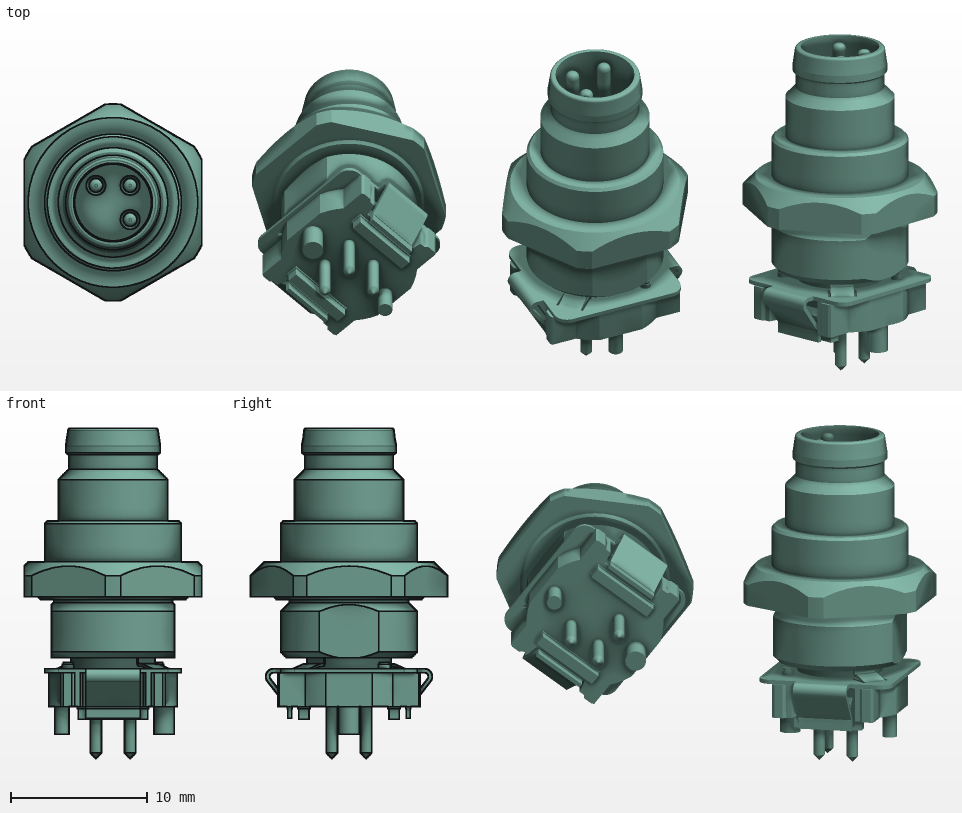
import cadquery as cq
import math


hex_across_flats = 13.0
hex_round_radius = 7.2
hex_face_radius = 6.2
hex_height = 2.55
collar_radius = 5.0
collar_top_z = 5.55
collar_chamfer = 0.2
sleeve_radius = 4.0
sleeve_top_z = 8.56
snap_neck_radius = 3.25
snap_neck_bottom_z = sleeve_top_z + sleeve_radius - snap_neck_radius
snap_neck_top_z = 10.37
snap_ring_radius = 3.46
snap_ring_bottom_z = 10.53
snap_ring_top_z = 11.05
shell_top_z = 12.32
rim_round = 0.2
rim_radius = 3.27
bore_radius = 2.88
bore_floor_z = 7.3
bore_step_radius = 2.8
bore_step_height = 0.3

gasket_radius = 5.5
gasket_height = 0.2
thread_radius = 4.35
nut_radius = 5.0
nut_across_flats = 9.0
nut_top_z = -0.42
nut_bottom_z = -4.47
nut_chamfer = nut_radius - thread_radius
nut_lower_chamfer = 0.45
stem_radius = 3.1

sheet_thickness = 0.3
plate_size = 10.0
plate_corner_radius = 1.0
plate_top_z = -5.25
plate_bottom_z = plate_top_z - sheet_thickness

base_bottom_z = -8.02
base_height = plate_bottom_z - base_bottom_z
base_round_radius = 5.0
base_round_width = 9.4
base_half_length = 5.2
base_end_half_width = 3.83
base_end_chamfer_x = 0.2
base_end_chamfer_y = 0.1
recess_mouth_half_width = 3.0
recess_floor_half_width = 2.79
pocket_mouth_half_width = 2.4
pocket_floor_half_width = 2.2
pocket_floor_y = 4.1

clip_width = 4.0
clip_bend_radius = 0.58
clip_bend_y = 5.51
clip_slope = math.radians(38)
clip_leg_y = 4.48
clip_leg_bottom_z = -8.88
ledge_y = 4.65
ledge_back_z = -6.45
ledge_front_z = -6.85
ledge_bottom_z = -7.1

foot_width = 5.08
foot_depth = 0.77
foot_y = 3.3
foot_bottom_z = -8.96
foot_pad_margin = 0.07
leg_pad_margin = 0.04
foot_pad_height = 0.17
post_x = 3.74
small_post_radius = 0.53
large_post_radius = 0.75
post_bottom_z = -10.05

pin_offset = 1.25
pin_positions = [(-pin_offset, pin_offset), (pin_offset, pin_offset), (pin_offset, -pin_offset)]
mating_pin_radius = 0.5
mating_pin_top_z = 12.05
mating_pin_round = 0.4
countersink_radius = 0.71
countersink_depth = countersink_radius - mating_pin_radius
solder_pin_radius = 0.42
solder_pin_shoulder_z = -11.4
solder_pin_tip_z = -11.83

stud_x = 3.28
stud_y = 2.57
stud_radius = 0.43
stud_height = 0.32
stud_head_radius = 0.36
stud_head_height = 0.48

tongue_angle = 45
tongue_width = 1.7
tongue_root = 4.95
tongue_knee = 3.85
tongue_tip = 3.3
tongue_rise = 0.35
tongue_slit = 0.2
tongue_thickness = 0.18
tongue_bend_radius = 0.3


def block(x0, x1, y0, y1, z0, z1):
    """Box between two opposite corners."""
    return cq.Workplane("XY").box(x1 - x0, y1 - y0, z1 - z0, centered=False).translate((x0, y0, z0))


def cylinder(position, radius, z0, z1):
    """Vertical cylinder between two heights."""
    return cq.Workplane("XY", origin=(*position, z0)).circle(radius).extrude(z1 - z0)


def revolved(points):
    """Solid of revolution about Z from (radius, height) points."""
    return cq.Workplane("XZ").polyline(points).close().revolve(360, (0, 0, 0), (0, 1, 0))


def both_ends(feature):
    """A +Y feature together with its copy on the -Y end."""
    return feature.union(feature.mirror("XZ"))


def hex_flange():
    """Hexagon with flats across X, its corners rounded and its upper edge bevelled at 45 degrees."""
    corner_diameter = hex_across_flats / math.cos(math.pi / 6)
    hexagon = cq.Workplane("XY").polygon(6, corner_diameter).extrude(hex_height)
    hexagon = hexagon.rotate((0, 0, 0), (0, 0, 1), 30)
    bevel_z = hex_height - (hex_round_radius - hex_face_radius)
    rounding = revolved([
        (0, 0),
        (hex_round_radius, 0),
        (hex_round_radius, bevel_z),
        (hex_face_radius, hex_height),
        (0, hex_height),
    ])
    return hexagon.intersect(rounding)


def upper_shell():
    """Collar, sleeve and snap ring, with the stepped bore that holds the mating pins."""
    shell = revolved([
        (0, hex_height),
        (collar_radius, hex_height),
        (collar_radius, collar_top_z - collar_chamfer),
        (collar_radius - collar_chamfer, collar_top_z),
        (sleeve_radius, collar_top_z),
        (sleeve_radius, sleeve_top_z),
        (snap_neck_radius, snap_neck_bottom_z),
        (snap_neck_radius, snap_neck_top_z),
        (snap_ring_radius, snap_ring_bottom_z),
        (snap_ring_radius, snap_ring_top_z),
        (rim_radius, shell_top_z),
        (0, shell_top_z),
    ])
    shell = shell.faces(">Z").edges().fillet(rim_round)
    step_z = bore_floor_z + bore_step_height
    shell = shell.cut(cylinder((0, 0), bore_radius, step_z, shell_top_z))
    return shell.cut(cylinder((0, 0), bore_step_radius, bore_floor_z, step_z))


def lower_shell():
    """Gasket, thread, nut with two flats across X, and the stem down to the plate."""
    neck_and_gasket = revolved([
        (0, 0),
        (gasket_radius, 0),
        (gasket_radius - gasket_height, -gasket_height),
        (thread_radius, -gasket_height),
        (thread_radius, nut_top_z),
        (0, nut_top_z),
    ])
    nut = revolved([
        (0, nut_top_z),
        (thread_radius, nut_top_z),
        (nut_radius, nut_top_z - nut_chamfer),
        (nut_radius, nut_bottom_z + nut_lower_chamfer),
        (nut_radius - nut_lower_chamfer, nut_bottom_z),
        (0, nut_bottom_z),
    ])
    half_flats = nut_across_flats / 2
    flats = block(-half_flats, half_flats, -nut_radius, nut_radius, nut_bottom_z, nut_top_z)
    stem = cylinder((0, 0), stem_radius, plate_bottom_z, nut_bottom_z)
    return neck_and_gasket.union(nut.intersect(flats)).union(stem)


def shield_plate():
    """Rounded square plate with the relief slits of the two spring tongues."""
    plate = cq.Workplane("XY", origin=(0, 0, plate_bottom_z)).rect(plate_size, plate_size)
    plate = plate.extrude(sheet_thickness).edges("|Z").fillet(plate_corner_radius)
    slit_x = tongue_width / 2 + tongue_slit / 2
    slit_length = tongue_root + tongue_slit - tongue_tip
    slits = (
        cq.Workplane("XY", origin=(0, 0, plate_bottom_z))
        .pushPoints([(x, y * (tongue_tip + slit_length / 2)) for x in (-slit_x, slit_x) for y in (-1, 1)])
        .rect(tongue_slit, slit_length)
        .extrude(sheet_thickness)
        .rotate((0, 0, 0), (0, 0, 1), tongue_angle)
    )
    return plate.cut(slits)


def spring_tongues():
    """Two opposite tongues that ramp inwards from the plate and turn up against the nut."""
    knee_z = plate_top_z + tongue_rise
    bend_y = tongue_tip + tongue_bend_radius
    bend_z = knee_z - tongue_thickness + tongue_bend_radius
    inner_radius = tongue_bend_radius - tongue_thickness
    diagonal = math.sqrt(0.5)
    tongue = (
        cq.Workplane("YZ", origin=(-tongue_width / 2, 0, 0))
        .moveTo(tongue_root, plate_top_z)
        .lineTo(tongue_knee, knee_z)
        .lineTo(bend_y, knee_z)
        .threePointArc(
            (bend_y - diagonal * inner_radius, bend_z - diagonal * inner_radius),
            (bend_y - inner_radius, bend_z),
        )
        .lineTo(bend_y - inner_radius, nut_bottom_z)
        .lineTo(tongue_tip, nut_bottom_z)
        .lineTo(tongue_tip, bend_z)
        .threePointArc(
            (bend_y - diagonal * tongue_bend_radius, bend_z - diagonal * tongue_bend_radius),
            (bend_y, bend_z - tongue_bend_radius),
        )
        .lineTo(tongue_knee, knee_z - tongue_thickness)
        .lineTo(tongue_root, plate_top_z - tongue_thickness)
        .close()
        .extrude(tongue_width)
    )
    return both_ends(tongue).rotate((0, 0, 0), (0, 0, 1), tongue_angle)


def base():
    """Rectangular ends with narrow corner bevels, joined by a round middle with two flats."""
    ends = cq.Workplane("XY", origin=(0, 0, base_bottom_z))
    ends = ends.rect(2 * base_end_half_width, 2 * base_half_length).extrude(base_height)
    corner = [(0, 0), (-base_end_chamfer_x, 0), (0, -base_end_chamfer_y)]
    bevel = cq.Workplane("XY", origin=(base_end_half_width, base_half_length, base_bottom_z))
    bevel = both_ends(bevel.polyline(corner).close().extrude(base_height))
    ends = ends.cut(bevel).cut(bevel.mirror("YZ"))
    half_width = base_round_width / 2
    middle = cylinder((0, 0), base_round_radius, base_bottom_z, plate_bottom_z).intersect(
        block(-half_width, half_width, -base_round_radius, base_round_radius, base_bottom_z, plate_bottom_z)
    )
    return ends.union(middle)


def end_recess():
    """Stepped recess behind the clip on the +Y end, with slanted side walls."""
    half_plate = plate_size / 2
    outline = [
        (recess_mouth_half_width, base_half_length),
        (recess_floor_half_width, half_plate),
        (pocket_mouth_half_width, half_plate),
        (pocket_floor_half_width, pocket_floor_y),
    ]
    mirrored = [(-x, y) for x, y in reversed(outline)]
    recess = cq.Workplane("XY", origin=(0, 0, base_bottom_z)).polyline(outline + mirrored).close()
    return recess.extrude(base_height)


def spring_clip():
    """Strip that leaves the plate at +Y, folds over outwards and ends in a vertical leg."""
    bend_z = plate_top_z - clip_bend_radius
    inner_radius = clip_bend_radius - sheet_thickness

    def on_bend(radius, angle):
        return clip_bend_y + radius * math.cos(angle), bend_z + radius * math.sin(angle)

    def slope_at(radius, y):
        """Height of the sloping strip face at a given Y."""
        start_y, start_z = on_bend(radius, -clip_slope)
        return start_z - (start_y - y) / math.tan(clip_slope)

    mid_angle = math.pi / 4 - clip_slope / 2
    leg_inner_y = clip_leg_y - sheet_thickness
    return (
        cq.Workplane("YZ", origin=(-clip_width / 2, 0, 0))
        .moveTo(clip_leg_y, plate_top_z)
        .lineTo(clip_bend_y, plate_top_z)
        .threePointArc(on_bend(clip_bend_radius, mid_angle), on_bend(clip_bend_radius, -clip_slope))
        .lineTo(clip_leg_y, slope_at(clip_bend_radius, clip_leg_y))
        .lineTo(clip_leg_y, clip_leg_bottom_z)
        .lineTo(leg_inner_y, clip_leg_bottom_z)
        .lineTo(leg_inner_y, slope_at(inner_radius, leg_inner_y))
        .lineTo(*on_bend(inner_radius, -clip_slope))
        .threePointArc(on_bend(inner_radius, mid_angle), on_bend(inner_radius, math.pi / 2))
        .lineTo(clip_leg_y, plate_bottom_z)
        .close()
        .extrude(clip_width)
    )


def clip_ledge():
    """Sloped ledge of the base on the pocket floor behind the +Y clip."""
    return (
        cq.Workplane("YZ", origin=(-clip_width / 2, 0, 0))
        .moveTo(pocket_floor_y, ledge_back_z)
        .lineTo(ledge_y, ledge_front_z)
        .lineTo(ledge_y, ledge_bottom_z)
        .lineTo(pocket_floor_y, ledge_bottom_z)
        .close()
        .extrude(clip_width)
    )


def clip_leg_pad():
    """Thicker root of the clip leg just under the base."""
    half_width = clip_width / 2
    return block(
        -half_width, half_width, clip_leg_y - sheet_thickness - leg_pad_margin, clip_leg_y + leg_pad_margin,
        base_bottom_z - foot_pad_height, base_bottom_z,
    )


def foot():
    """Foot under the +Y half of the base, with a slightly wider pad at its root."""
    half_width = foot_width / 2
    y0 = foot_y - foot_depth / 2
    y1 = foot_y + foot_depth / 2
    margin = foot_pad_margin
    leg = block(-half_width, half_width, y0, y1, foot_bottom_z, base_bottom_z)
    pad = block(
        -half_width - margin, half_width + margin, y0 - margin, y1 + margin,
        base_bottom_z - foot_pad_height, base_bottom_z,
    )
    return leg.union(pad)


def mating_pin(position):
    """Round-nosed contact pin standing in the bore."""
    pin = cylinder(position, mating_pin_radius, bore_floor_z - countersink_depth, mating_pin_top_z)
    return pin.faces(">Z").edges().fillet(mating_pin_round)


def countersink(position):
    """Conical space in the bore floor around a mating pin."""
    cone = revolved([
        (0, bore_floor_z),
        (countersink_radius, bore_floor_z),
        (mating_pin_radius, bore_floor_z - countersink_depth),
        (0, bore_floor_z - countersink_depth),
    ])
    return cone.translate((*position, 0))


def solder_pin(position):
    """Pointed pin through the base."""
    pin = revolved([
        (0, plate_bottom_z),
        (solder_pin_radius, plate_bottom_z),
        (solder_pin_radius, solder_pin_shoulder_z),
        (0, solder_pin_tip_z),
    ])
    return pin.translate((*position, 0))


def stud(position):
    """Two-step rivet stud."""
    body = cylinder(position, stud_radius, plate_bottom_z, plate_top_z + stud_height)
    head = cylinder(position, stud_head_radius, plate_bottom_z, plate_top_z + stud_head_height)
    return body.union(head)


result = hex_flange().union(upper_shell()).union(lower_shell())
for pin_position in pin_positions:
    result = result.cut(countersink(pin_position))
    result = result.union(mating_pin(pin_position))

result = result.union(base().cut(both_ends(end_recess())))
result = result.union(shield_plate())
result = result.union(spring_tongues())
for stud_position in ((-stud_x, -stud_y), (stud_x, stud_y)):
    result = result.union(stud(stud_position))
result = result.union(both_ends(spring_clip()))
result = result.union(both_ends(clip_leg_pad()))
result = result.union(both_ends(clip_ledge()))
result = result.union(both_ends(foot()))
result = result.union(cylinder((-post_x, 0), small_post_radius, post_bottom_z, base_bottom_z))
result = result.union(cylinder((post_x, 0), large_post_radius, post_bottom_z, base_bottom_z))
for pin_position in pin_positions:
    result = result.union(solder_pin(pin_position))